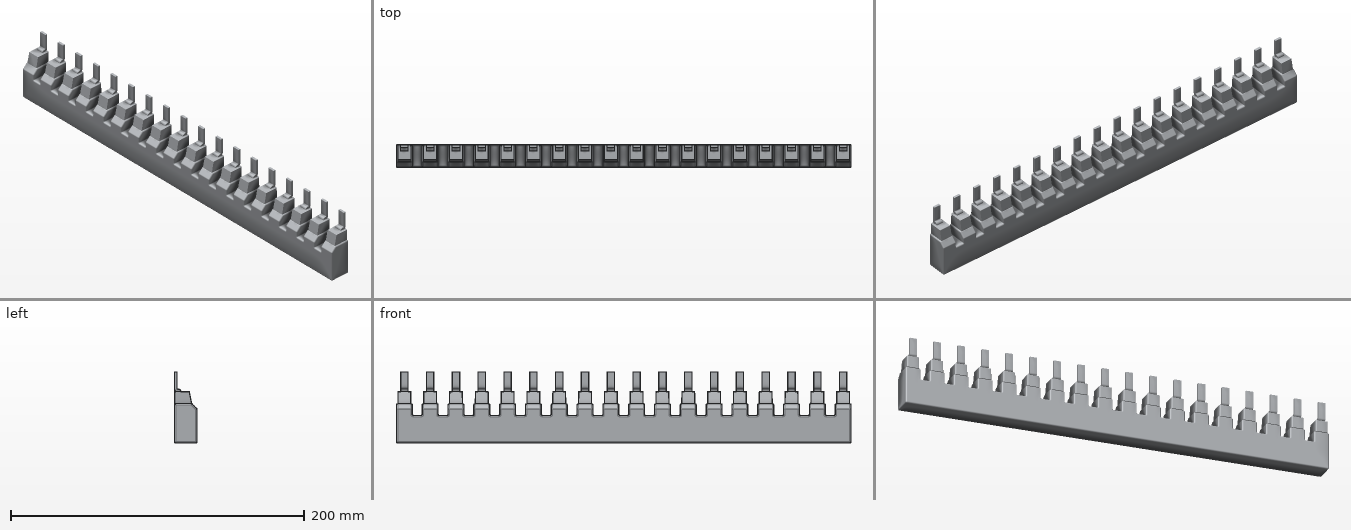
import cadquery as cq


LENGTH = 310.2
DEPTH = 15.5
LEDGE_Z = 26.8
BASE_TOP_DEPTH = 11.9
SHOULDER_Z = LEDGE_Z - (DEPTH - BASE_TOP_DEPTH)
EDGE_RADIUS = 1.0

TOOTH_COUNT = 18
PITCH = 17.6
FIRST_TOOTH_X = (LENGTH - (TOOTH_COUNT - 1) * PITCH) / 2
TOOTH_WIDTH = 11.0
SLOT_WIDTH = PITCH - TOOTH_WIDTH
SLOT_FLOOR_Z = 18.9
SLOT_FLOOR_RADIUS = 0.6

HEAD_TOP_Z = 35.0
HEAD_BOTTOM_WIDTH = TOOTH_WIDTH - 2 * EDGE_RADIUS
HEAD_TOP_WIDTH = 8.8
HEAD_BOTTOM_DEPTH = BASE_TOP_DEPTH
HEAD_TOP_DEPTH = 10.2
HEAD_BACK_RADIUS = 0.8

TOP_Z = 48.5
BLADE_WIDTH = 5.2
BLADE_THICKNESS = 1.8
BEND_OUTER_RADIUS = BLADE_THICKNESS
BEND_INNER_RADIUS = 0.6
STEP_DEPTH = 4.5

tooth_centres = [FIRST_TOOTH_X + i * PITCH for i in range(TOOTH_COUNT)]


def make_slot(centre_x):
    """Cutter for the gap between two teeth, with rounded floor corners."""
    return (
        cq.Workplane("XY")
        .box(SLOT_WIDTH, DEPTH, LEDGE_Z - SLOT_FLOOR_Z, centered=(True, False, False))
        .edges("|Y and <Z")
        .fillet(SLOT_FLOOR_RADIUS)
        .translate((centre_x, 0, SLOT_FLOOR_Z))
    )


def make_housing():
    """Long strip with a sloped front shoulder, slots between the teeth and rounded edges."""
    housing = (
        cq.Workplane("YZ")
        .moveTo(0, 0)
        .lineTo(DEPTH, 0)
        .lineTo(DEPTH, LEDGE_Z)
        .lineTo(DEPTH - BASE_TOP_DEPTH, LEDGE_Z)
        .lineTo(0, SHOULDER_Z)
        .close()
        .extrude(LENGTH)
    )
    for x in tooth_centres[:-1]:
        housing = housing.cut(make_slot(x + PITCH / 2))
    return housing.edges().fillet(EDGE_RADIUS)


def make_head():
    """Tapered head centred on X = 0, with a flat back flush with the housing."""
    bottom_y = DEPTH - HEAD_BOTTOM_DEPTH / 2
    top_y = DEPTH - HEAD_TOP_DEPTH / 2
    return (
        cq.Workplane("XY", origin=(0, bottom_y, LEDGE_Z))
        .rect(HEAD_BOTTOM_WIDTH, HEAD_BOTTOM_DEPTH)
        .workplane(offset=HEAD_TOP_Z - LEDGE_Z)
        .center(0, top_y - bottom_y)
        .rect(HEAD_TOP_WIDTH, HEAD_TOP_DEPTH)
        .loft(ruled=True)
        .faces(">Y")
        .edges("not |X")
        .fillet(HEAD_BACK_RADIUS)
    )


def make_blade():
    """Flat blade along the back, centred on X = 0, with a forward step resting on the head."""
    front_y = DEPTH - BLADE_THICKNESS
    step_y = DEPTH - STEP_DEPTH
    step_z = HEAD_TOP_Z + BLADE_THICKNESS
    return (
        cq.Workplane("YZ")
        .moveTo(DEPTH, TOP_Z)
        .lineTo(DEPTH, HEAD_TOP_Z + BEND_OUTER_RADIUS)
        .radiusArc((DEPTH - BEND_OUTER_RADIUS, HEAD_TOP_Z), BEND_OUTER_RADIUS)
        .lineTo(step_y, HEAD_TOP_Z)
        .radiusArc((step_y + BEND_OUTER_RADIUS, step_z), BEND_OUTER_RADIUS)
        .lineTo(front_y - BEND_INNER_RADIUS, step_z)
        .radiusArc((front_y, step_z + BEND_INNER_RADIUS), -BEND_INNER_RADIUS)
        .lineTo(front_y, TOP_Z)
        .close()
        .extrude(BLADE_WIDTH / 2, both=True)
    )


terminal = make_head().union(make_blade()).val()
terminals = [terminal.translate(cq.Vector(x, 0, 0)) for x in tooth_centres]
housing = make_housing().val()
result = cq.Workplane(housing.fuse(*terminals)).solids()